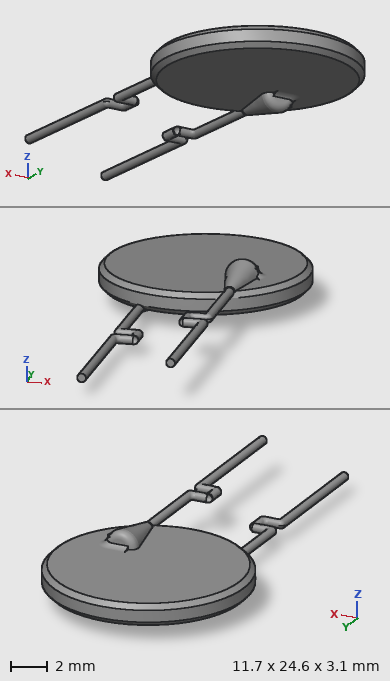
import cadquery as cq
import math

disc_diameter = 11.7
disc_thickness = 1.3
disc_rim_chamfer = 0.3

lead_pitch = 5.0
lead_diameter = 0.5
lead_height = 0.6
overall_length = 24.55

kink_depth = 1.1
kink_length = 1.1
kink_start_y = -9.95
kink_inner_radius = 0.2

bead_radius = 0.95
bead_tip_radius = 0.3
bead_back_y = -1.36
bead_shoulder_y = -1.9
bead_tip_y = -4.85
bead_edge_radius = 0.4

foot_width = 0.4
foot_fillet_radius = 0.5
foot_sink = 0.2
foot_turn = 140

lead_x = lead_pitch / 2
lead_tip_y = disc_diameter / 2 - overall_length
disc_face_z = disc_thickness / 2


def make_disc():
    """Flat disc with both rims chamfered."""
    bottom = cq.Workplane("XY", origin=(0, 0, -disc_face_z))
    disc = bottom.circle(disc_diameter / 2).extrude(disc_thickness)
    return disc.faces("|Z").edges().chamfer(disc_rim_chamfer)


def make_bead():
    """Solid of revolution about the lead axis, with a rounded back edge."""
    profile = (
        cq.Workplane("YZ", origin=(lead_x, 0, lead_height))
        .moveTo(bead_back_y, 0)
        .lineTo(bead_back_y, bead_radius)
        .lineTo(bead_shoulder_y, bead_radius)
        .lineTo(bead_tip_y, bead_tip_radius)
        .lineTo(bead_tip_y, 0)
        .close()
    )
    bead = profile.revolve(360, (0, 0, 0), (1, 0, 0))
    return bead.faces(">Y").edges().fillet(bead_edge_radius)


def make_bead_foot():
    """Concave foot, straight along the bead's back and turned around its outer corner."""
    corner_x = lead_x + bead_radius - bead_edge_radius
    corner_y = bead_back_y - bead_edge_radius
    back_width = 2 * (bead_radius - bead_edge_radius)
    outer_radius = bead_edge_radius + foot_width
    arc_middle = foot_fillet_radius * (1 - math.sqrt(0.5))

    section = (
        cq.Workplane("YZ", origin=(corner_x, corner_y, disc_face_z))
        .moveTo(0, foot_fillet_radius)
        .lineTo(0, -foot_sink)
        .lineTo(outer_radius, -foot_sink)
        .lineTo(outer_radius, 0)
        .threePointArc(
            (outer_radius - foot_fillet_radius + arc_middle, arc_middle),
            (outer_radius - foot_fillet_radius, foot_fillet_radius),
        )
        .close()
    )
    straight = section.extrude(-back_width, combine=False)
    turned = section.wires().toPending().revolve(foot_turn, (0, 0, 0), (0, -1, 0), combine=False)
    return straight.union(turned)


def make_lead():
    """Round wire with a square kink toward the middle, filleted inside each bend."""
    lead_start_y = (bead_back_y + bead_tip_y) / 2
    kink_x = lead_x - kink_depth
    kink_end_y = kink_start_y - kink_length
    path = cq.Workplane("XY", origin=(0, 0, lead_height)).polyline(
        [
            (lead_x, lead_start_y),
            (lead_x, kink_start_y),
            (kink_x, kink_start_y),
            (kink_x, kink_end_y),
            (lead_x, kink_end_y),
            (lead_x, lead_tip_y),
        ]
    )
    wire = (
        cq.Workplane("XZ", origin=(lead_x, lead_start_y, lead_height))
        .circle(lead_diameter / 2)
        .sweep(path, transition="round")
    )
    return wire.edges("%ELLIPSE").fillet(kink_inner_radius)


lead_assembly = make_bead().union(make_bead_foot()).union(make_lead())
opposite_assembly = lead_assembly.rotate((0, 0, 0), (0, 1, 0), 180)

result = make_disc().union(lead_assembly).union(opposite_assembly)